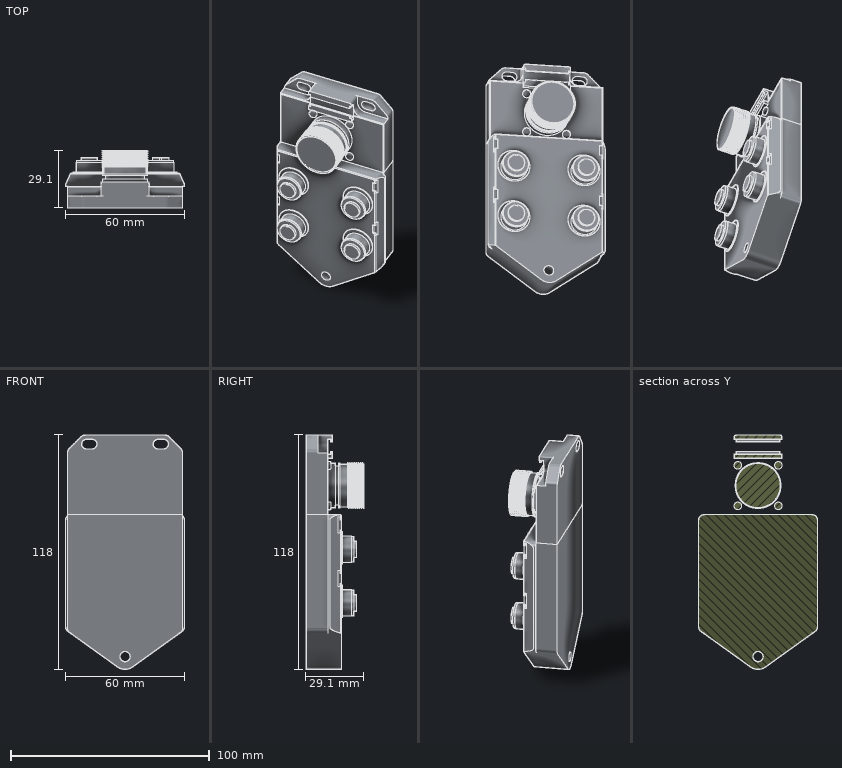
import cadquery as cq
import math


corner_reach = 0.5
cut_overrun = 1.0

height = 118.03
plate_half_width = 29.0
plate_depth = 11.0
panel_height = 0.35
panel_margin = 0.4
split_z = height - 40.0
top_corner_chamfer = 7.7
top_corner_radius = 3.0

taper_angle = math.radians(35.7)
tip_radius = 6.5
taper_corner_radius = 3.0
tip_apex_z = -tip_radius * (1 / math.cos(taper_angle) - 1)
tip_hole_z = tip_radius
tip_hole_diameter = 5.0

slot_x = 18.0
slot_z = height - 4.6
slot_length = 7.6
slot_width = 4.7
pocket_floor_y = 6.0
pocket_drop = 9.0
pocket_corner_radius = 4.5

holder_half_width = 12.0
holder_corner_radius = 1.0
holder_top_y = 13.2
holder_drop = 11.8
channel_top_drop = 2.2
channel_bottom_drop = 9.6
hook_underside_y = 12.3
hook_length = 1.3
hook_half_width = holder_half_width - 1.0

connector_z = height - 25.45
connector_end_y = 29.1
flange_radius = 11.3
flange_top_y = 14.7
groove_radius = 9.85
ring_bottom_y = 16.4
ring_top_y = 17.1
shaft_radius = 10.8
thread_start_y = 20.7
thread_radius = 11.5
thread_pitch = 1.06
thread_base_width = 0.9
thread_crest_width = 0.15
thread_overlap = 0.1

screw_offset = 10.2
screw_head_radius = 2.0
screw_head_height = 1.5
screw_head_rounding = 0.6

cover_half_width = 30.0
cover_top_y = 17.8
cover_lip_y = 11.9
cover_corner_radius = 3.0
cover_edge_chamfer = 0.5
cover_top_half_width = 27.6

socket_x = 17.95
socket_top_z = 60.5
socket_pitch = 27.0
socket_rows = 2
pad_radius = 8.2
pad_rise = 0.8
pad_height = 0.4
collar_radius = 6.7
collar_top_y = 22.9
neck_radius = 6.5
neck_top_y = 24.0
insert_radius = 4.2
insert_top_y = 25.4
key_width = 1.0
key_depth = 0.35

label_top_above_socket = 16.2
label_height = 8.0
label_floor_y = 16.1
label_lip_underside_y = 17.1
label_lip_length = 1.5
label_inner_x = 26.0


def plane_at(y):
    """Sketch plane facing -Y whose local axes are X and Z."""
    return cq.Workplane("XZ", origin=(0, y, 0))


def block(x0, x1, y0, y1, z0, z1):
    """Axis-aligned box between two corners."""
    return cq.Workplane("XY").box(x1 - x0, y1 - y0, z1 - z0, centered=False).translate((x0, y0, z0))


def disc(x, z, radius, y0, y1):
    """Cylinder along Y."""
    return plane_at(y0).center(x, z).circle(radius).extrude(y0 - y1)


def fillet_corner(body, x, z, radius):
    """Round the edges along Y that pass through the point (x, z)."""
    corner = cq.selectors.BoxSelector(
        (x - corner_reach, -connector_end_y, z - corner_reach),
        (x + corner_reach, connector_end_y, z + corner_reach))
    return body.edges("|Y").edges(corner).fillet(radius)


def tapered_prism(half_width, y0, y1, corner_radius):
    """Prism below the split, with straight sides that taper to a rounded tip."""
    shoulder_z = tip_apex_z + half_width * math.tan(taper_angle)
    points = [(-half_width, split_z), (-half_width, shoulder_z), (0, tip_apex_z),
              (half_width, shoulder_z), (half_width, split_z)]
    prism = plane_at(y0).polyline(points).close().extrude(y0 - y1)
    prism = fillet_corner(prism, 0, tip_apex_z, tip_radius)
    for side in (-1, 1):
        prism = fillet_corner(prism, side * half_width, shoulder_z, corner_radius)
    return prism



def base_plate():
    plate = block(-plate_half_width, plate_half_width, 0, plate_depth - panel_height, split_z, height)
    plate = plate.edges("|Y and >Z").chamfer(top_corner_chamfer)
    chamfer_start_z = height - top_corner_chamfer
    chamfer_end_x = plate_half_width - top_corner_chamfer
    for side in (-1, 1):
        plate = fillet_corner(plate, side * plate_half_width, chamfer_start_z, top_corner_radius)
        plate = fillet_corner(plate, side * chamfer_end_x, height, top_corner_radius)
    return plate


def raised_panel():
    """Low panel on the outer face, below the corner pockets."""
    half_width = plate_half_width - panel_margin
    return block(-half_width, half_width, plate_depth - panel_height, plate_depth,
                 split_z, height - pocket_drop - panel_margin)


def corner_pocket(side):
    """Space above the mounting ear, open to the top, the side and the outer face."""
    outer_x = plate_half_width + cut_overrun
    pocket = block(holder_half_width, outer_x, pocket_floor_y, holder_top_y,
                   height - pocket_drop, height + cut_overrun)
    pocket = pocket.edges("|Y and <X and <Z").fillet(pocket_corner_radius)
    return pocket if side > 0 else pocket.mirror("YZ")


def label_holder():
    """Two hooked bars across the base that hold a label between them."""
    bars = block(-holder_half_width, holder_half_width, pocket_floor_y, holder_top_y,
                 height - holder_drop, height)
    channel_top = height - channel_top_drop
    channel_bottom = height - channel_bottom_drop
    bars = bars.cut(block(-holder_half_width, holder_half_width, plate_depth, hook_underside_y,
                          channel_bottom, channel_top))
    bars = bars.cut(block(-holder_half_width, holder_half_width, plate_depth, holder_top_y,
                          channel_bottom + hook_length, channel_top - hook_length))
    for x0, x1 in ((-holder_half_width, -hook_half_width), (hook_half_width, holder_half_width)):
        bars = bars.cut(block(x0, x1, plate_depth, holder_top_y, channel_bottom, channel_top))
    return bars


def round_holder_corners(base):
    """Round the upright top corners of the holder, from the pocket floor to its outer face."""
    for side in (-1, 1):
        base = fillet_corner(base, side * holder_half_width, height, holder_corner_radius)
    return base


def connector_body():
    """Turned part of the connector, without its thread."""
    profile = [(0, plate_depth), (flange_radius, plate_depth), (flange_radius, flange_top_y),
               (groove_radius, flange_top_y), (groove_radius, ring_bottom_y),
               (flange_radius, ring_bottom_y), (flange_radius, ring_top_y),
               (shaft_radius, ring_top_y), (shaft_radius, connector_end_y), (0, connector_end_y)]
    turned = cq.Workplane("XY").polyline(profile).close().revolve(360, (0, 0, 0), (0, 1, 0))
    return turned.translate((0, 0, connector_z))


def connector_thread():
    """Helical ridge around the end of the connector, cut flush at both ends."""
    run = connector_end_y - thread_start_y + thread_pitch
    start_y = thread_start_y - thread_pitch / 2
    inner = shaft_radius - thread_overlap
    helix = cq.Wire.makeHelix(thread_pitch, run, inner)
    ridge = (
        cq.Workplane("XZ")
        .polyline([(inner, -thread_base_width / 2), (thread_radius, -thread_crest_width / 2),
                   (thread_radius, thread_crest_width / 2), (inner, thread_base_width / 2)])
        .close()
        .sweep(cq.Workplane(helix), isFrenet=True)
    )
    ridge = ridge.rotate((0, 0, 0), (1, 0, 0), -90).translate((0, start_y, connector_z))
    return ridge.intersect(disc(0, connector_z, thread_radius + cut_overrun, thread_start_y, connector_end_y))


def screw_head(x, z):
    head = disc(x, z, screw_head_radius, plate_depth, plate_depth + screw_head_height)
    return head.faces(">Y").edges().fillet(screw_head_rounding)


def build_connector_base():
    base = base_plate()
    for side in (-1, 1):
        base = base.cut(corner_pocket(side))
    base = base.union(raised_panel()).union(label_holder())
    base = round_holder_corners(base)
    for side in (-1, 1):
        slot = plane_at(0).center(side * slot_x, slot_z).slot2D(slot_length, slot_width).extrude(-plate_depth)
        base = base.cut(slot)
        for level in (-1, 1):
            base = base.union(screw_head(side * screw_offset, connector_z + level * screw_offset))
    connector = connector_body().rotate(
        (0, 0, connector_z), (0, 1, connector_z), 180).union(connector_thread())
    return base.union(connector)



def cover():
    """Raised cover with bevelled edges, whose sides lean inward above a short upright lip."""
    body = tapered_prism(cover_half_width, plate_depth, cover_top_y, cover_corner_radius)
    body = body.edges("|Y and >Z").fillet(cover_corner_radius)
    shoulder_y = cover_top_y - cover_edge_chamfer
    rim_half_width = cover_top_half_width - cover_edge_chamfer
    section = [(cover_half_width, plate_depth), (cover_half_width, cover_lip_y),
               (cover_top_half_width, shoulder_y), (rim_half_width, cover_top_y)]
    mirrored = [(-x, y) for x, y in reversed(section)]
    envelope = cq.Workplane("XY").polyline(section + mirrored).close().extrude(split_z)
    top_edge = (
        cq.Workplane("YZ", origin=(-cover_half_width, 0, 0))
        .polyline([(cover_top_y, split_z), (shoulder_y, split_z),
                   (cover_top_y, split_z - cover_edge_chamfer)])
        .close()
        .extrude(2 * cover_half_width)
    )
    return body.intersect(envelope).cut(top_edge)


def label_pocket(side, top_z):
    """Side pocket in the cover, undercut behind a lip at its top and bottom."""
    bottom_z = top_z - label_height
    undercut = block(label_inner_x, cover_half_width, label_floor_y, label_lip_underside_y, bottom_z, top_z)
    opening = block(label_inner_x, cover_half_width, label_floor_y, cover_top_y,
                    bottom_z + label_lip_length, top_z - label_lip_length)
    pocket = undercut.union(opening)
    return pocket if side > 0 else pocket.mirror("YZ")


def socket(side, z):
    """Round socket on a low pad; the key groove faces +X on the left column and +Z on the right."""
    x = side * socket_x
    pad = disc(x, z + pad_rise, pad_radius, cover_top_y, cover_top_y + pad_height)
    collar = disc(x, z, collar_radius, cover_top_y, collar_top_y)
    neck = disc(x, z, neck_radius, collar_top_y, neck_top_y)
    insert = disc(x, z, insert_radius, neck_top_y, insert_top_y)
    key = block(insert_radius - key_depth, insert_radius + key_depth, neck_top_y, insert_top_y,
                -key_width / 2, key_width / 2)
    if side > 0:
        key = key.rotate((0, 0, 0), (0, 1, 0), -90)
    insert = insert.cut(key.translate((x, 0, z)))
    return pad.union(collar).union(neck).union(insert)


def build_socket_housing():
    housing = tapered_prism(plate_half_width, 0, plate_depth, taper_corner_radius).union(cover())
    for side in (-1, 1):
        for row in range(socket_rows):
            z = socket_top_z - row * socket_pitch
            housing = housing.cut(label_pocket(side, z + label_top_above_socket))
            housing = housing.union(socket(side, z))
    return housing.cut(disc(0, tip_hole_z, tip_hole_diameter / 2, 0, cover_top_y))


connector_base = build_connector_base()
socket_housing = build_socket_housing()
result = cq.Compound.makeCompound([connector_base.val(), socket_housing.val()])